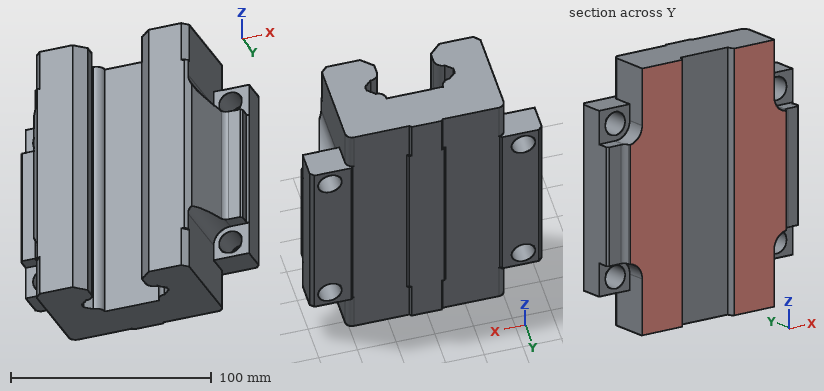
import cadquery as cq
import math


total_length = 139.4
total_depth = 50.5
block_length = 97.0
block_half_width = 60.0
wall_half_width = 41.0
cap_length = (total_length - block_length) / 2

recess_depth = 1.0
side_pad_half_inner = 39.0
pad_bevel = 1.0
block_center_pad_half = 9.0
cap_center_pad_half = 7.7
flange_top_chamfer = 2.0

flange_depth = 22.0
seat_depth = 15.0
flange_lower_chamfer = 1.0
step_width = 1.0
flank_root_half = 49.3
flank_angle = math.radians(15)
flank_fillet = 3.0
flank_end_depth = 47.7
block_foot_half = 39.5

hole_diameter = 12.2
hole_spacing_x = 100.0
hole_spacing_z = 80.0
clearance_radius = hole_spacing_x / 2 - wall_half_width

cap_top_radius = 3.5
cap_foot_chamfer = 3.0

rail_roof_depth = 22.0
rail_half_width = 14.6
ball_half_width = 22.8
ball_center_depth = 31.1
ball_flat = 2.6
lip_radius = 4.5
lip_end_half = 19.1
foot_bevel_depth = 45.0
foot_bevel_half = 20.5


def pt(x, depth):
    """Point in the cross-section, given its depth below the mounting face."""
    return (x, -depth)


def extrude_centered(profile, length):
    return profile.extrude(length / 2, both=True)


def make_block():
    """Central block with mounting flanges; the +X flange has a small reference step."""
    flank_end_half = flank_root_half - (flank_end_depth - flange_depth) * math.tan(flank_angle)
    pad_half = block_center_pad_half
    step_half = block_half_width - step_width
    profile = (
        cq.Workplane("XY")
        .moveTo(*pt(-pad_half, 0))
        .lineTo(*pt(pad_half, 0))
        .lineTo(*pt(pad_half + pad_bevel, recess_depth))
        .lineTo(*pt(side_pad_half_inner - pad_bevel, recess_depth))
        .lineTo(*pt(side_pad_half_inner, 0))
        .lineTo(*pt(block_half_width - flange_top_chamfer, 0))
        .lineTo(*pt(block_half_width, flange_top_chamfer))
        .lineTo(*pt(block_half_width, seat_depth))
        .lineTo(*pt(step_half, seat_depth + step_width))
        .lineTo(*pt(step_half, flange_depth - flange_lower_chamfer))
        .lineTo(*pt(step_half - flange_lower_chamfer, flange_depth))
        .lineTo(*pt(flank_root_half, flange_depth))
        .lineTo(*pt(flank_end_half, flank_end_depth))
        .lineTo(*pt(block_foot_half, total_depth))
        .lineTo(*pt(-block_foot_half, total_depth))
        .lineTo(*pt(-flank_end_half, flank_end_depth))
        .lineTo(*pt(-flank_root_half, flange_depth))
        .lineTo(*pt(flange_lower_chamfer - block_half_width, flange_depth))
        .lineTo(*pt(-block_half_width, flange_depth - flange_lower_chamfer))
        .lineTo(*pt(-block_half_width, flange_top_chamfer))
        .lineTo(*pt(flange_top_chamfer - block_half_width, 0))
        .lineTo(*pt(-side_pad_half_inner, 0))
        .lineTo(*pt(pad_bevel - side_pad_half_inner, recess_depth))
        .lineTo(*pt(-pad_half - pad_bevel, recess_depth))
        .close()
    )
    block = extrude_centered(profile, block_length)
    for side in (-1, 1):
        root = cq.selectors.NearestToPointSelector((side * flank_root_half, -flange_depth, 0))
        block = block.edges(root).fillet(flank_fillet)
    return block


def clearance_cut(side, end):
    """Space below one mounting hole, rounded about the hole toward the carriage middle."""
    hole_x = side * hole_spacing_x / 2
    hole_z = end * hole_spacing_z / 2
    height = total_depth - seat_depth
    outer_x = side * block_half_width
    outer_z = end * block_length / 2
    inner_z = hole_z - end * clearance_radius

    def box(x0, x1, z0, z1):
        return (
            cq.Workplane("XY")
            .box(abs(x1 - x0), height, abs(z1 - z0))
            .translate(((x0 + x1) / 2, -seat_depth - height / 2, (z0 + z1) / 2))
        )

    beside_wall = box(side * wall_half_width, outer_x, hole_z, outer_z)
    outboard = box(hole_x, outer_x, inner_z, hole_z)
    corner = (
        cq.Workplane("XZ", origin=(hole_x, -seat_depth, hole_z))
        .circle(clearance_radius)
        .extrude(height)
    )
    return beside_wall.union(outboard).union(corner)


def mounting_hole(side, end):
    origin = (side * hole_spacing_x / 2, 0, end * hole_spacing_z / 2)
    return cq.Workplane("XZ", origin=origin).circle(hole_diameter / 2).extrude(total_depth)


def make_cap(end):
    """End cap at one end of the block."""
    diagonal = cap_top_radius * (1 - math.sqrt(0.5))
    shoulder_half = wall_half_width - cap_top_radius
    shoulder_depth = recess_depth + cap_top_radius
    arc_middle_half = wall_half_width - diagonal
    arc_middle_depth = recess_depth + diagonal
    foot_depth = total_depth - cap_foot_chamfer
    foot_half = wall_half_width - cap_foot_chamfer
    pad_half = cap_center_pad_half
    start_z = min(end * block_length / 2, end * total_length / 2)
    return (
        cq.Workplane("XY", origin=(0, 0, start_z))
        .moveTo(*pt(-pad_half, 0))
        .lineTo(*pt(pad_half, 0))
        .lineTo(*pt(pad_half + pad_bevel, recess_depth))
        .lineTo(*pt(shoulder_half, recess_depth))
        .threePointArc(pt(arc_middle_half, arc_middle_depth), pt(wall_half_width, shoulder_depth))
        .lineTo(*pt(wall_half_width, foot_depth))
        .lineTo(*pt(foot_half, total_depth))
        .lineTo(*pt(-foot_half, total_depth))
        .lineTo(*pt(-wall_half_width, foot_depth))
        .lineTo(*pt(-wall_half_width, shoulder_depth))
        .threePointArc(pt(-arc_middle_half, arc_middle_depth), pt(-shoulder_half, recess_depth))
        .lineTo(*pt(-pad_half - pad_bevel, recess_depth))
        .close()
        .extrude(cap_length)
    )


def make_rail_opening():
    """Rail channel with rounded lips above and below the ball grooves."""
    lip_center_half = rail_half_width + lip_radius
    lip_offset = ball_center_depth - rail_roof_depth
    lower_lip_depth = ball_center_depth + lip_offset
    arc_middle = lip_radius * math.sqrt(0.5)
    half = (
        cq.Workplane("XY")
        .moveTo(*pt(0, rail_roof_depth))
        .lineTo(*pt(rail_half_width, rail_roof_depth))
        .threePointArc(
            pt(lip_center_half - arc_middle, rail_roof_depth + arc_middle),
            pt(lip_end_half, rail_roof_depth + lip_radius),
        )
        .lineTo(*pt(ball_half_width, ball_center_depth - ball_flat / 2))
        .lineTo(*pt(ball_half_width, ball_center_depth + ball_flat / 2))
        .lineTo(*pt(lip_end_half, lower_lip_depth - lip_radius))
        .threePointArc(
            pt(lip_center_half - arc_middle, lower_lip_depth - arc_middle),
            pt(rail_half_width, lower_lip_depth),
        )
        .lineTo(*pt(rail_half_width, foot_bevel_depth))
        .lineTo(*pt(foot_bevel_half, total_depth))
        .lineTo(*pt(0, total_depth))
        .close()
    )
    half = extrude_centered(half, total_length)
    return half.union(half.mirror("YZ"))


result = make_block()
for side in (-1, 1):
    for end in (-1, 1):
        result = result.cut(clearance_cut(side, end)).cut(mounting_hole(side, end))
for end in (-1, 1):
    result = result.union(make_cap(end))
result = result.cut(make_rail_opening())